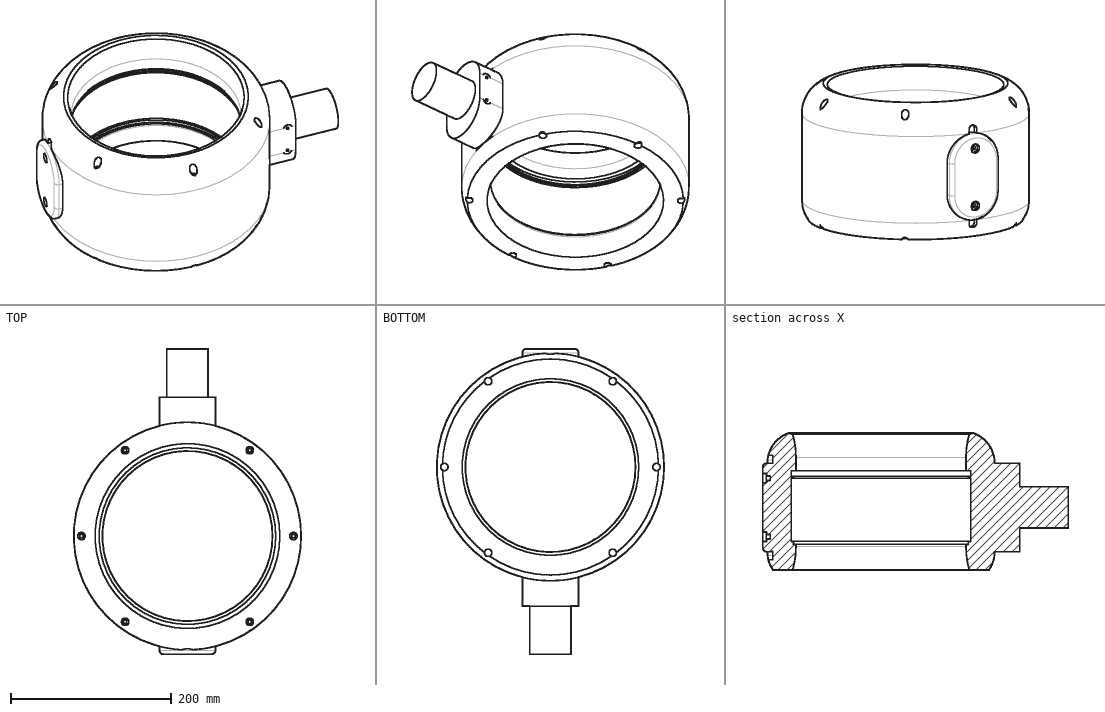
import cadquery as cq
import math

outer_radius = 141.95
height = 171.0
wall_bottom = 23.0
wall_top = 133.5
wall_middle = (wall_bottom + wall_top) / 2
shoulder_radius = 40.0

bore_radius = 106.0
seat_radius = 109.0
liner_radius = 112.0
flare_radius = 110.0
rim_drop = 1.5
upper_flare_end = 140.5
upper_lip_bottom = 124.0
bead_top = 117.0
bead_thickness = 2.3
lower_lip_top = 32.0
lower_flare_end = 29.7
seat_depth = 4.0

pad_width = 70.0
pad_height = wall_top - wall_bottom
pad_root = 122.0
cover_face = 147.5
cover_fillet = 5.0
collar_face = 173.5

spigot_radius = 26.0
spigot_face = 233.5

cover_screw_offset = 36.5
cover_head_radius = 5.7
cover_head_depth = 4.5
cover_socket_radius = 2.5
cover_socket_depth = 4.5
slot_width = 11.5
slot_height = 130.5
slot_floor = 135.3

boss_radius = 5.7
boss_inset = 11.0
boss_offset = 18.3
boss_hole_radius = 1.5
boss_hole_depth = 4.0

shoulder_screw_angles = [0, 54, 126, 180, 234, 306]
shoulder_screw_circle = 132.2
top_head_radius = 4.5
top_head_floor = 148.5
top_socket_radius = 2.3
top_socket_depth = 4.5
bottom_hole_radius = 4.5
bottom_hole_depth = 7.5


def shoulder_point(rise):
    """Radius of the shoulder arc at a height `rise` beyond the straight wall."""
    return outer_radius - shoulder_radius + math.sqrt(shoulder_radius**2 - rise**2)


def flare_middle(start_z, end_z):
    """Middle point of a flare that leaves the bore tangentially at start_z."""
    step = flare_radius - bore_radius
    run = end_z - start_z
    radius = (run**2 + step**2) / (2 * step)
    half_angle = math.asin(abs(run) / radius) / 2
    return (
        bore_radius + radius * (1 - math.cos(half_angle)),
        start_z + math.copysign(radius * math.sin(half_angle), run),
    )


def housing_ring():
    """Ring with rounded shoulders and a stepped, flared bore."""
    top_rise = height - wall_top
    upper_rim = height - rim_drop
    profile = (
        cq.Workplane("XZ")
        .moveTo(shoulder_point(wall_bottom), 0)
        .threePointArc((shoulder_point(wall_bottom / 2), wall_bottom / 2), (outer_radius, wall_bottom))
        .lineTo(outer_radius, wall_top)
        .threePointArc(
            (shoulder_point(top_rise / 2), wall_top + top_rise / 2),
            (shoulder_point(top_rise), height),
        )
        .lineTo(flare_radius, upper_rim)
        .threePointArc(flare_middle(upper_flare_end, upper_rim), (bore_radius, upper_flare_end))
        .lineTo(bore_radius, upper_lip_bottom)
        .lineTo(liner_radius, upper_lip_bottom)
        .lineTo(liner_radius, bead_top)
        .lineTo(seat_radius, bead_top)
        .lineTo(seat_radius, bead_top - bead_thickness)
        .lineTo(liner_radius, bead_top - bead_thickness)
        .lineTo(liner_radius, lower_lip_top + seat_depth)
        .lineTo(seat_radius, lower_lip_top + seat_depth)
        .lineTo(seat_radius, lower_lip_top)
        .lineTo(bore_radius, lower_lip_top)
        .lineTo(bore_radius, lower_flare_end)
        .threePointArc(flare_middle(lower_flare_end, 0), (flare_radius, 0))
        .close()
    )
    return profile.revolve(360, (0, 0, 0), (0, 1, 0))


def rod_y(x, z, radius, start_y, end_y):
    """Cylinder along Y between two stations."""
    return cq.Workplane("XZ", origin=(x, start_y, z)).circle(radius).extrude(start_y - end_y)


def rod_z(x, y, radius, start_z, end_z):
    """Cylinder along Z between two heights."""
    return cq.Workplane("XY", origin=(x, y, start_z)).circle(radius).extrude(end_z - start_z)


def rod_x(y, z, radius, start_x, end_x):
    """Cylinder along X between two stations."""
    return cq.Workplane("YZ", origin=(start_x, y, z)).circle(radius).extrude(end_x - start_x)


def oblong(tall, wide, start_y, end_y):
    """Upright oblong centred on the straight wall, between two Y stations."""
    plane = cq.Workplane("XZ", origin=(0, start_y, wall_middle))
    return plane.slot2D(tall, wide, 90).extrude(start_y - end_y)


body = housing_ring()

body = body.cut(oblong(slot_height, slot_width, -outer_radius, -slot_floor))

cover = oblong(pad_height, pad_width, -pad_root, -cover_face)
body = body.union(cover.faces("<Y").edges().fillet(cover_fillet))

body = body.union(oblong(pad_height, pad_width, pad_root, collar_face))
body = body.union(rod_y(0, wall_middle, spigot_radius, collar_face, spigot_face))

boss_y = collar_face - boss_inset
for side in (-1, 1):
    boss_z = wall_middle + side * boss_offset
    body = body.union(rod_x(boss_y, boss_z, boss_radius, -pad_width / 2, pad_width / 2))
    for flat_x in (-pad_width / 2, pad_width / 2):
        inner_x = flat_x - math.copysign(boss_hole_depth, flat_x)
        body = body.cut(rod_x(boss_y, boss_z, boss_hole_radius, flat_x, inner_x))

for side in (-1, 1):
    screw_z = wall_middle + side * cover_screw_offset
    head_floor = -cover_face + cover_head_depth
    socket_floor = head_floor + cover_socket_depth
    body = body.cut(rod_y(0, screw_z, cover_head_radius, -cover_face, head_floor))
    body = body.cut(rod_y(0, screw_z, cover_socket_radius, head_floor, socket_floor))

for angle in shoulder_screw_angles:
    x = shoulder_screw_circle * math.cos(math.radians(angle))
    y = shoulder_screw_circle * math.sin(math.radians(angle))
    body = body.cut(rod_z(x, y, top_head_radius, top_head_floor, height))
    body = body.cut(rod_z(x, y, top_socket_radius, top_head_floor - top_socket_depth, top_head_floor))
    body = body.cut(rod_z(x, y, bottom_hole_radius, 0, bottom_hole_depth))

result = body